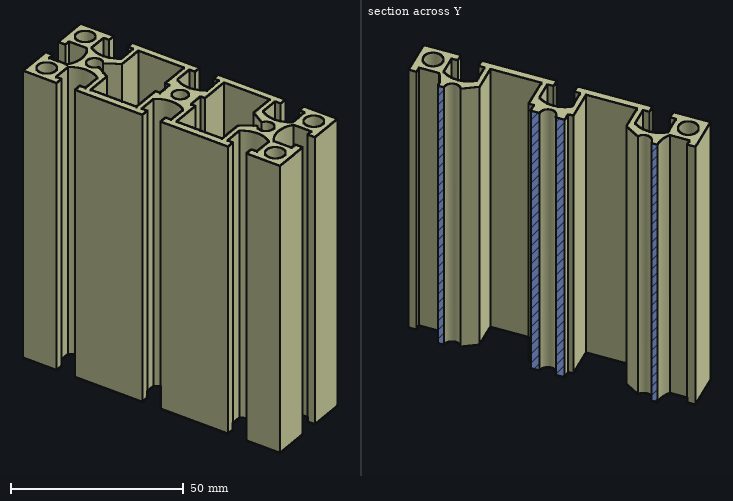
import cadquery as cq

length = 100.0
cell = 30.0
cell_count = 3
width = cell * cell_count
half_width = width / 2
half_cell = cell / 2

slot_opening = 6.4
slot_cavity_width = 10.3
lip_thickness = 2.6
slot_wall_depth = 8.8
slot_depth = 10.6

core_diameter = 5.0
corner_diameter = 6.0
corner_inset = 5.0

chamber_width = 16.0
chamber_height = cell - 2 * lip_thickness
recess_depth = 1.6
recess_height = 5.0
funnel_mouth_half = 4.0
funnel_throat_half = 1.1
funnel_throat_offset = 2.2


def extruded(sketch):
    return sketch.extrude(length)


def t_slot():
    """T-slot cutter opening toward +Y, for a cell centred on the origin."""
    opening_half = slot_opening / 2
    cavity_half = slot_cavity_width / 2
    lip_y = half_cell - lip_thickness
    wall_end_y = half_cell - slot_wall_depth
    floor_y = half_cell - slot_depth
    return extruded(
        cq.Workplane("XY")
        .moveTo(-opening_half, half_cell)
        .lineTo(-opening_half, lip_y)
        .lineTo(-cavity_half, lip_y)
        .lineTo(-cavity_half, wall_end_y)
        .threePointArc((0, floor_y), (cavity_half, wall_end_y))
        .lineTo(cavity_half, lip_y)
        .lineTo(opening_half, lip_y)
        .lineTo(opening_half, half_cell)
        .close()
    )


def chamber():
    """Left chamber: funnel into the end cell's bore, recess facing the middle cell."""
    left = -half_cell - chamber_width / 2
    right = left + chamber_width
    throat_x = -cell + funnel_throat_offset
    box = extruded(
        cq.Workplane("XY").center(-half_cell, 0).rect(chamber_width, chamber_height)
    )
    funnel = extruded(
        cq.Workplane("XY").polyline([
            (-cell, -funnel_throat_half),
            (throat_x, -funnel_throat_half),
            (left, -funnel_mouth_half),
            (left, funnel_mouth_half),
            (throat_x, funnel_throat_half),
            (-cell, funnel_throat_half),
        ]).close()
    )
    recess = extruded(
        cq.Workplane("XY").center(right + recess_depth / 2, 0).rect(recess_depth, recess_height)
    )
    return box.union(funnel).union(recess)


result = extruded(cq.Workplane("XY").rect(width, cell))

cell_centres = [(i - (cell_count - 1) / 2) * cell for i in range(cell_count)]
for x in cell_centres:
    for angle in (0, 180):
        slot = t_slot().rotate((0, 0, 0), (0, 0, 1), angle)
        result = result.cut(slot.translate((x, 0, 0)))

for x, angle in ((cell_centres[0], 90), (cell_centres[-1], -90)):
    slot = t_slot().rotate((0, 0, 0), (0, 0, 1), angle)
    result = result.cut(slot.translate((x, 0, 0)))

left_chamber = chamber()
result = result.cut(left_chamber).cut(left_chamber.mirror("YZ"))

core_points = [(x, 0) for x in cell_centres]
corner_x = half_width - corner_inset
corner_y = half_cell - corner_inset
corner_points = [(sx * corner_x, sy * corner_y) for sx in (-1, 1) for sy in (-1, 1)]
for points, diameter in ((core_points, core_diameter), (corner_points, corner_diameter)):
    result = result.cut(extruded(cq.Workplane("XY").pushPoints(points).circle(diameter / 2)))